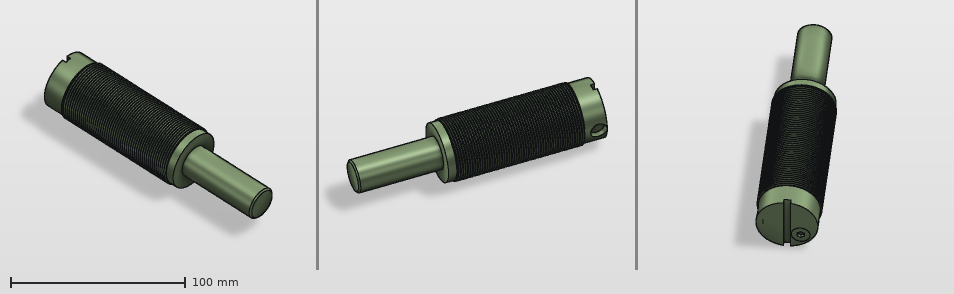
import cadquery as cq

total_length = 150.0
body_length = 98.0
body_diameter = 35.8
shaft_diameter = 20.0
shaft_chamfer = 1.0

thread_start = 13.6
thread_length = 79.2
thread_pitch = 1.5
thread_phase = 0.5
ridge_base = 1.42
ridge_overlap = 0.2
thread_diameter = 37.6

slot_width = 4.0
slot_depth = 2.5

screw_y = -8.0
screw_z = -7.8
screw_diameter = 11.0
screw_recess = 0.2
socket_across_flats = 4.0
socket_depth = 2.0

side_hole_diameter = 10.0
side_hole_x = 5.2
side_hole_floor_y = 13.8

body_radius = body_diameter / 2
thread_radius = thread_diameter / 2


def make_body():
    return cq.Workplane("YZ").circle(body_radius).extrude(body_length)


def make_thread():
    """Right-hand V-shaped ridge wound about the X axis, trimmed square at both ends."""
    lead_in = thread_pitch - thread_phase
    path = cq.Wire.makeHelix(thread_pitch, thread_length + 2 * lead_in, body_radius)
    half_base = ridge_base / 2
    root_radius = body_radius - ridge_overlap
    profile = cq.Workplane("XZ").polyline(
        [(root_radius, -half_base), (thread_radius, 0), (root_radius, half_base)]
    ).close()
    ridge = profile.sweep(cq.Workplane(obj=path), isFrenet=True)
    ridge = ridge.rotate((0, 0, 0), (0, 1, 0), 90)
    ridge = ridge.translate((thread_start - lead_in, 0, 0))
    trim = cq.Workplane("YZ", origin=(thread_start, 0, 0)).circle(thread_diameter)
    return ridge.intersect(trim.extrude(thread_length))


def make_shaft():
    """Plain shaft with a chamfered free end."""
    shaft = cq.Workplane("YZ", origin=(body_length, 0, 0)).circle(shaft_diameter / 2)
    return shaft.extrude(total_length - body_length).faces(">X").chamfer(shaft_chamfer)


def make_slot():
    return cq.Workplane("XY").box(2 * slot_depth, slot_width, thread_diameter)


def make_screw_recess():
    """Shallow round recess with a hexagon socket at its centre."""
    face = cq.Workplane("YZ", origin=(0, screw_y, screw_z))
    recess = face.circle(screw_diameter / 2).extrude(screw_recess)
    socket = face.polygon(6, socket_across_flats, circumscribed=True)
    return recess.union(socket.extrude(screw_recess + socket_depth))


def make_side_hole():
    floor = cq.Workplane("XZ", origin=(side_hole_x, side_hole_floor_y, 0))
    return floor.circle(side_hole_diameter / 2).extrude(side_hole_floor_y - thread_radius)


result = make_body().union(make_shaft()).union(make_thread())
result = result.cut(make_slot()).cut(make_screw_recess()).cut(make_side_hole())